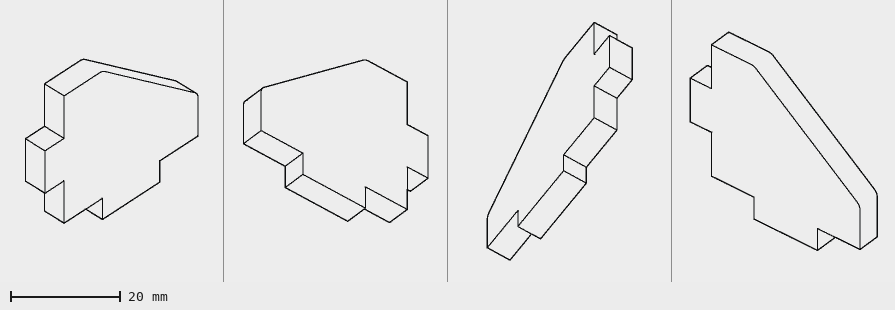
import cadquery as cq

thickness = 5.0
body_length = 35.0
body_height = 30.0
back_edge_height = 10.0
top_edge_length = 10.0
corner_radius = 2.0

tab_depth = 5.0
front_tab_width = 10.0
front_tab_start = 10.0
bottom_tab_width = 15.0
bottom_tab_start = 10.0


def make_body():
    """Plate with one sloped, round-ended edge; its -Y bottom corner is at the origin."""
    body = (
        cq.Workplane("YZ")
        .moveTo(0, 0)
        .lineTo(body_length, 0)
        .lineTo(body_length, back_edge_height)
        .lineTo(top_edge_length, body_height)
        .lineTo(0, body_height)
        .close()
        .extrude(thickness)
    )
    slope_ends = [
        (thickness / 2, body_length, back_edge_height),
        (thickness / 2, top_edge_length, body_height),
    ]
    for corner in slope_ends:
        body = body.edges(cq.selectors.NearestToPointSelector(corner)).fillet(corner_radius)
    return body


def make_tab(start_y, start_z, length_y, length_z):
    """Rectangular tab as thick as the plate, placed by its lowest Y and Z corner."""
    return (
        cq.Workplane("XY")
        .box(thickness, length_y, length_z, centered=False)
        .translate((0, start_y, start_z))
    )


front_tab = make_tab(-tab_depth, front_tab_start, tab_depth, front_tab_width)
bottom_tab = make_tab(bottom_tab_start, -tab_depth, bottom_tab_width, tab_depth)

result = make_body().union(front_tab).union(bottom_tab)